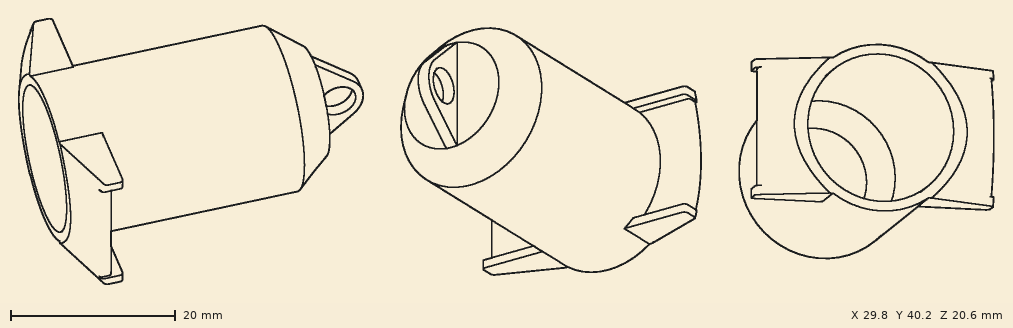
import cadquery as cq
import math

tube_radius = 20.6 / 2
bore_radius = 9.1
shoulder_y = 29.8
nose_y = 34.05
nose_radius = 6.9
bore_shoulder_y = 29.3
bore_floor_y = 32.7
bore_floor_radius = 6.4

total_length = 40.15
lug_thickness = 1.55
lug_radius = 3.6
lug_hole_radius = 2.25
lug_center_y = total_length - lug_radius
lug_hole_y = 36.95

flange_half_span = 29.8 / 2
flange_half_height = 8.4
flange_depth = 5.45
tab_thickness = 1.1
tab_edge_radius = 0.5
plate_half_span = 14.55
plate_depth = 4.05
plate_edge_radius = 0.32
front_slope = 20.3
front_start_x = 10.8
front_bow = 1.65


def turned(points):
    """Solid of revolution about Y from (radius, y) points."""
    return cq.Workplane("XY").polyline(points).close().revolve(360, (0, 0), (0, 1))


def make_tube_body():
    return turned([
        (0, 0), (tube_radius, 0), (tube_radius, shoulder_y), (nose_radius, nose_y), (0, nose_y),
    ])


def make_bore():
    return turned([
        (0, 0), (bore_radius, 0), (bore_radius, bore_shoulder_y),
        (bore_floor_radius, bore_floor_y), (0, bore_floor_y),
    ])


def make_lug():
    rise = lug_center_y - nose_y
    rim_distance = math.hypot(rise, nose_radius)
    tangent_angle = math.atan2(-rise, nose_radius) + math.acos(lug_radius / rim_distance)
    tangent_y = lug_center_y + lug_radius * math.sin(tangent_angle)
    tangent_z = lug_radius * math.cos(tangent_angle)
    return (
        cq.Workplane("YZ")
        .moveTo(nose_y, -nose_radius)
        .lineTo(tangent_y, -tangent_z)
        .threePointArc((total_length, 0), (tangent_y, tangent_z))
        .lineTo(nose_y, nose_radius)
        .close()
        .extrude(lug_thickness / 2, both=True)
    )


def make_lug_hole():
    return (
        cq.Workplane("YZ").center(lug_hole_y, 0)
        .circle(lug_hole_radius).extrude(lug_thickness, both=True)
    )


def make_front_envelope():
    """Space behind the bowed, sloping front, for the flange on the +X side."""
    angle = math.radians(front_slope)
    slope_direction = cq.Vector(math.cos(angle), math.sin(angle), 0)
    across_slope = cq.Vector(-math.sin(angle), math.cos(angle), 0)
    profile_plane = cq.Plane(
        origin=(front_start_x, 0, 0), xDir=across_slope, normal=slope_direction
    )
    bow = front_bow * math.cos(angle)
    back = 2 * flange_half_span
    return (
        cq.Workplane(profile_plane)
        .moveTo(bow, -flange_half_height)
        .threePointArc((0, 0), (bow, flange_half_height))
        .lineTo(back, flange_half_height)
        .lineTo(back, -flange_half_height)
        .close()
        .extrude(flange_half_span, both=True)
    )


def flange_block(half_span, depth, half_height, edge_radius):
    """Bowed block from the tube axis to half_span, with rounded outer edges."""
    block = cq.Workplane("XY").box(
        half_span, depth, 2 * half_height, centered=(False, False, True)
    )
    block = block.intersect(make_front_envelope())
    return block.faces(">X").edges("not |Y").fillet(edge_radius)


def make_flange():
    tab_inner_z = flange_half_height - tab_thickness
    outline = flange_block(flange_half_span, flange_depth, flange_half_height, tab_edge_radius)
    tab_gap = cq.Workplane("XY").box(
        flange_half_span, flange_depth, 2 * tab_inner_z, centered=(False, False, True)
    )
    plate = flange_block(plate_half_span, plate_depth, flange_half_height, plate_edge_radius)
    return outline.cut(tab_gap).union(plate)


flange = make_flange()
result = (
    make_tube_body()
    .union(flange)
    .union(flange.mirror("YZ"))
    .union(make_lug())
    .cut(make_bore())
    .cut(make_lug_hole())
)